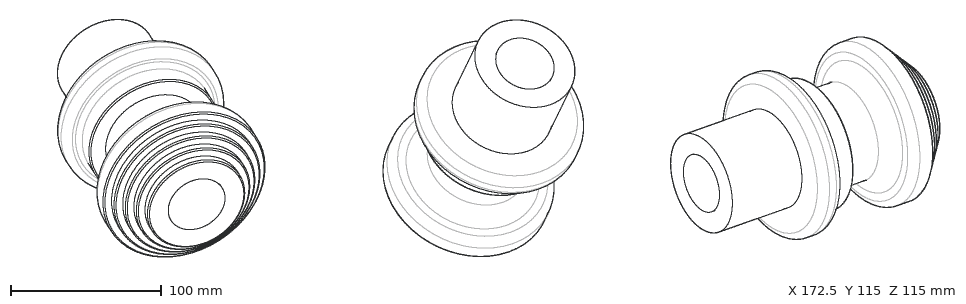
import cadquery as cq

length = 172.5
step = length / 30
step_count = 4
edge_chamfer = 1.0
collar_fillet = 3.5

flange_radius = 10 * step
collar_radius = 8 * step
shaft_radius = 6 * step
bore_radius = 3.5 * step

flange_width = 3 * step
flange_round = step
neck_fillet = 2 * step
front_flange_start = 10 * step
collar_start = front_flange_start + flange_width
collar_width = 3 * step
rear_flange_start = length - step_count * step - flange_width


def disc(start, width, radius):
    """Solid cylinder along X."""
    return cq.Workplane("YZ", origin=(start, 0, 0)).circle(radius).extrude(width)


def chamfered_disc(start, width, radius):
    """Cylinder along X with a small chamfer on its +X rim."""
    return disc(start, width, radius).faces(">X").edges().chamfer(edge_chamfer)


def root_fillet(face_x, radius, size, direction):
    """Concave ring joining a cylinder of the given radius to a flange face.

    The ring spreads from the face along X in the given direction (+1 or -1).
    """
    far_x = face_x + direction * size
    sunk_radius = radius - size
    middle = size * (1 - 0.5 ** 0.5)
    return (
        cq.Workplane("XY")
        .moveTo(face_x, sunk_radius)
        .lineTo(face_x, radius + size)
        .threePointArc((face_x + direction * middle, radius + middle), (far_x, radius))
        .lineTo(far_x, sunk_radius)
        .close()
        .revolve(360, (0, 0, 0), (1, 0, 0))
    )


result = disc(0, rear_flange_start + flange_width, shaft_radius)

front_flange = disc(front_flange_start, flange_width, flange_radius)
result = result.union(front_flange.edges().fillet(flange_round))
result = result.union(chamfered_disc(collar_start, collar_width, collar_radius))
result = result.union(root_fillet(collar_start, collar_radius, collar_fillet, 1))

rear_flange = chamfered_disc(rear_flange_start, flange_width, flange_radius)
result = result.union(rear_flange.faces("<X").edges().fillet(flange_round))
result = result.union(root_fillet(rear_flange_start, shaft_radius, neck_fillet, -1))

for index in range(step_count):
    start = rear_flange_start + flange_width + index * step
    result = result.union(chamfered_disc(start, step, flange_radius - (index + 1) * step))

result = result.cut(disc(0, length, bore_radius))